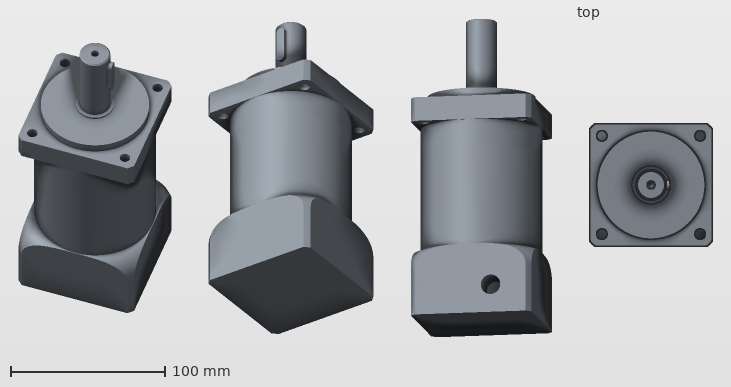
import cadquery as cq
import math

total_height = 199.5
block_height = 45.5
lower_seam_height = 49.7
upper_seam_height = 111.0
flange_bottom = 127.7
flange_top = 143.2
pilot_top = 149.2
collar_top = 150.5

square_width = 79.5
square_depth = 79.6
corner_radius = 53.9

barrel_radius = 39.5
pilot_radius = 35.1
collar_radius = 12.4

shaft_radius = 10.0
shaft_chamfer_width = 1.0
shaft_chamfer_height = 0.8
center_hole_radius = 2.5
center_hole_depth = 16.0
drill_point_angle = 118.0

bolt_circle_diameter = 90.0
bolt_hole_diameter = 6.8
bolt_count = 4
first_bolt_angle = 45

access_hole_radius = 6.4
access_hole_y = -13.4
access_hole_z = 18.2
hub_radius = 19.0

key_width = 6.0
key_length = 24.5
key_top = 194.1
key_inner_x = 6.5
key_outer_x = 12.4


def cylinder(radius, bottom, top):
    """Cylinder on the Z axis between two heights."""
    return cq.Workplane("XY").workplane(offset=bottom).circle(radius).extrude(top - bottom)


def square_with_turned_corners(bottom, top):
    """Square prism whose corners are cut back by a coaxial cylinder."""
    prism = cq.Workplane("XY").workplane(offset=bottom).rect(square_width, square_depth).extrude(top - bottom)
    return prism.intersect(cylinder(corner_radius, bottom, top))


def make_motor_block():
    """Square block whose upper corners are turned to a quarter-round profile."""
    shoulder_radius = corner_radius - barrel_radius
    envelope = cylinder(corner_radius, 0, block_height).faces(">Z").edges().fillet(shoulder_radius)
    block = square_with_turned_corners(0, block_height).intersect(envelope)
    return block.cut(make_access_hole())


def make_access_hole():
    """Hole along X that stops at the round surface of the clamping hub."""
    hole = (
        cq.Workplane("YZ")
        .center(access_hole_y, access_hole_z)
        .circle(access_hole_radius)
        .extrude(-square_width)
    )
    return hole.cut(cylinder(hub_radius, 0, block_height))


def make_barrel():
    """Round gear barrel in three flush sections, left unmerged so that their seams remain."""
    heights = [block_height, lower_seam_height, upper_seam_height, flange_bottom]
    barrel = cylinder(barrel_radius, heights[0], heights[1])
    for bottom, top in zip(heights[1:], heights[2:]):
        barrel = barrel.union(cylinder(barrel_radius, bottom, top), clean=False)
    return barrel


def make_flange():
    """Square output flange with four through holes on a bolt circle."""
    flange = square_with_turned_corners(flange_bottom, flange_top)
    return (
        flange.faces(">Z")
        .workplane(origin=(0, 0, flange_top))
        .polarArray(bolt_circle_diameter / 2, first_bolt_angle, 360, bolt_count)
        .hole(bolt_hole_diameter)
    )


def make_shaft():
    """Output shaft with a chamfered end and a drilled center hole."""
    drill_point_height = center_hole_radius / math.tan(math.radians(drill_point_angle / 2))
    hole_floor = total_height - center_hole_depth
    profile = [
        (0, collar_top),
        (shaft_radius, collar_top),
        (shaft_radius, total_height - shaft_chamfer_height),
        (shaft_radius - shaft_chamfer_width, total_height),
        (center_hole_radius, total_height),
        (center_hole_radius, hole_floor),
        (0, hole_floor - drill_point_height),
    ]
    return cq.Workplane("XZ").polyline(profile).close().revolve(360, (0, 0, 0), (0, 1, 0))


def make_key():
    """Parallel key standing along the +X side of the shaft."""
    return (
        cq.Workplane("YZ")
        .workplane(offset=key_inner_x)
        .center(0, key_top - key_length / 2)
        .slot2D(key_length, key_width, 90)
        .extrude(key_outer_x - key_inner_x)
    )


def make_gearbox(key):
    """Housing, flange and output shaft as one solid, with a keyway that fits the key."""
    sections = [
        make_barrel(),
        make_flange(),
        cylinder(pilot_radius, flange_top, pilot_top),
        cylinder(collar_radius, pilot_top, collar_top),
        make_shaft(),
    ]
    gearbox = make_motor_block()
    for section in sections:
        gearbox = gearbox.union(section, clean=False)
    return gearbox.cut(key, clean=False)


key = make_key()
gearbox = make_gearbox(key)

result = cq.Compound.makeCompound([gearbox.solids().val(), key.val()])